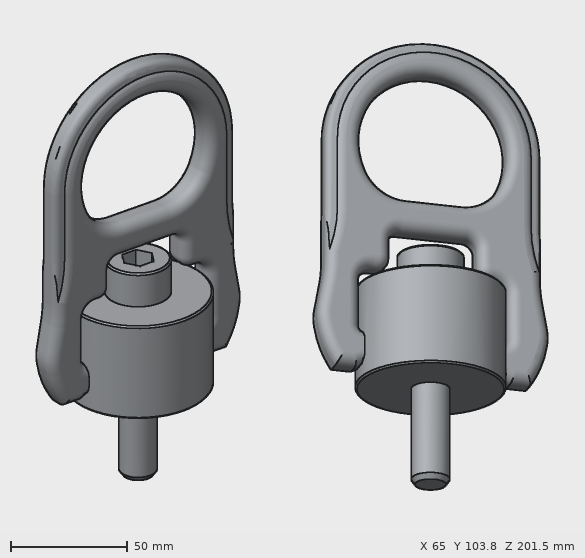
import cadquery as cq
import math


SHANK_RADIUS = 8.37
SHANK_TIP_RADIUS = 6.7
SHANK_TIP_HEIGHT = 2.5
DRUM_RADIUS = 32.5
DRUM_BOTTOM = 44.0
DRUM_TOP = 89.1
DRUM_CHAMFER = 0.8
HEAD_RADIUS = 14.41
HEAD_TOP = 105.2
HEAD_CHAMFER = 0.8
HEX_ACROSS_FLATS = 13.0
HEX_DEPTH = 12.0
HEX_TURN = 30.0

RING_TOP = 201.5
RING_THICKNESS = 14.3
EDGE_FILLET = 5.0
BOW_RADIUS = 48.4
BOW_CENTRE_Z = RING_TOP - BOW_RADIUS
FLARE_TOP = 98.4
FLARE_END = (49.09, 89.1)
FLARE_BULGE = (48.57, 93.7)
CHEEK_HALF_WIDTH = 51.91
CHEEK_TOP = (51.5, 75.8)
CHEEK_BOTTOM = (51.5, 68.0)
CHEEK_MID_Z = (CHEEK_TOP[1] + CHEEK_BOTTOM[1]) / 2
TOE_BULGE = (49.4, 59.7)
TOE_OUTER = 43.7
TOE_INNER = 34.9
TOE_BOTTOM = 49.0

PIN_TOP = 65.5
PIN_BOTTOM = 50.6
PIN_SHOULDER = 31.9
PIN_INNER_END = 22.2

EYE_RADIUS = 33.3
EYE_BOTTOM = 128.0
EYE_FLAT_HALF = 12.5

WINDOW_TOP = 113.3
WINDOW_UPPER_HALF = 19.8
WINDOW_TOP_RADIUS = 4.8
WINDOW_STEP_Z = 95.2
WINDOW_STEP_RADIUS = 5.2
WINDOW_LOWER_HALF = 33.5
WINDOW_SHOULDER_RADIUS = 6.2
WINDOW_FOOT_RADIUS = 2.5

RIM_CREST = (0.0, 1.8)
RIM_ROUND_MID = (0.95, 4.2)
RIM_ROUND_END = (3.2, 5.2)
RIM_STEP_FOOT = (4.8, 5.55)
RIM_STEP_MID = (6.5, 6.7)
RIM_STEP_TOP = (8.5, RING_THICKNESS / 2)
RIM_CLEARANCE = 2.0
RIM_STRAIGHT_END = 121.4
RIM_RUNOUT_RADIUS = 54.5
RIM_RUNOUT_ANGLE = 35.0


def circle_point(centre, radius, degrees):
    """Point on a circle in the YZ plane at an angle measured from +Y toward +Z."""
    angle = math.radians(degrees)
    return (centre[0] + radius * math.cos(angle), centre[1] + radius * math.sin(angle))


def half_plate():
    """The +Y half of the plate, from the bow down to the pin, without the eye."""
    step_centre = (WINDOW_UPPER_HALF + WINDOW_STEP_RADIUS, WINDOW_STEP_Z + WINDOW_STEP_RADIUS)
    shoulder_centre = (WINDOW_LOWER_HALF - WINDOW_SHOULDER_RADIUS, WINDOW_STEP_Z - WINDOW_SHOULDER_RADIUS)
    foot_centre = (WINDOW_LOWER_HALF - WINDOW_FOOT_RADIUS, PIN_TOP + WINDOW_FOOT_RADIUS)
    top_centre = (WINDOW_UPPER_HALF - WINDOW_TOP_RADIUS, WINDOW_TOP - WINDOW_TOP_RADIUS)
    outline = (
        cq.Workplane("YZ", origin=(-RING_THICKNESS / 2, 0, 0))
        .moveTo(0, RING_TOP)
        .threePointArc(circle_point((0, BOW_CENTRE_Z), BOW_RADIUS, 45), (BOW_RADIUS, BOW_CENTRE_Z))
        .lineTo(BOW_RADIUS, FLARE_TOP)
        .threePointArc(FLARE_BULGE, FLARE_END)
        .lineTo(*CHEEK_TOP)
        .threePointArc((CHEEK_HALF_WIDTH, CHEEK_MID_Z), CHEEK_BOTTOM)
        .threePointArc(TOE_BULGE, (TOE_OUTER, TOE_BOTTOM))
        .lineTo(TOE_INNER, TOE_BOTTOM)
        .lineTo(PIN_SHOULDER, PIN_BOTTOM)
        .lineTo(PIN_INNER_END, PIN_BOTTOM)
        .lineTo(PIN_INNER_END, PIN_TOP)
        .lineTo(foot_centre[0], PIN_TOP)
        .threePointArc(
            circle_point(foot_centre, WINDOW_FOOT_RADIUS, -45), (WINDOW_LOWER_HALF, foot_centre[1])
        )
        .lineTo(WINDOW_LOWER_HALF, shoulder_centre[1])
        .threePointArc(
            circle_point(shoulder_centre, WINDOW_SHOULDER_RADIUS, 45), (shoulder_centre[0], WINDOW_STEP_Z)
        )
        .lineTo(step_centre[0], WINDOW_STEP_Z)
        .threePointArc(
            circle_point(step_centre, WINDOW_STEP_RADIUS, 225), (WINDOW_UPPER_HALF, step_centre[1])
        )
        .lineTo(WINDOW_UPPER_HALF, top_centre[1])
        .threePointArc(circle_point(top_centre, WINDOW_TOP_RADIUS, 45), (top_centre[0], WINDOW_TOP))
        .lineTo(0, WINDOW_TOP)
        .close()
    )
    return outline.extrude(RING_THICKNESS)


def eye_opening():
    """Round eye with a flat bottom; the corner arcs run tangent into the bow arc and the flat."""
    drop = BOW_CENTRE_Z - EYE_BOTTOM
    corner_radius = (EYE_RADIUS**2 - EYE_FLAT_HALF**2 - drop**2) / (2 * (EYE_RADIUS - drop))
    centre = (EYE_FLAT_HALF, EYE_BOTTOM + corner_radius)
    join_angle = math.degrees(math.atan2(centre[1] - BOW_CENTRE_Z, centre[0]))
    join = circle_point((0, BOW_CENTRE_Z), EYE_RADIUS, join_angle)
    corner_mid = circle_point(centre, corner_radius, (join_angle - 90) / 2)
    return (
        cq.Workplane("YZ", origin=(-RING_THICKNESS, 0, 0))
        .moveTo(-EYE_FLAT_HALF, EYE_BOTTOM)
        .lineTo(EYE_FLAT_HALF, EYE_BOTTOM)
        .threePointArc(corner_mid, join)
        .threePointArc((0, BOW_CENTRE_Z + EYE_RADIUS), (-join[0], join[1]))
        .threePointArc((-corner_mid[0], corner_mid[1]), (-EYE_FLAT_HALF, EYE_BOTTOM))
        .close()
        .extrude(2 * RING_THICKNESS)
    )


def rim_section(height):
    """Section of the material taken off the +X, +Y rim, drawn in the horizontal plane at a height."""

    def point(rim_point):
        return (rim_point[1], BOW_RADIUS - rim_point[0])

    outside = BOW_RADIUS + RIM_CLEARANCE
    beyond_face = RING_THICKNESS / 2 + RIM_CLEARANCE
    return (
        cq.Workplane("XY", origin=(0, 0, height))
        .moveTo(*point(RIM_CREST))
        .threePointArc(point(RIM_ROUND_MID), point(RIM_ROUND_END))
        .lineTo(*point(RIM_STEP_FOOT))
        .threePointArc(point(RIM_STEP_MID), point(RIM_STEP_TOP))
        .lineTo(beyond_face, BOW_RADIUS - RIM_STEP_TOP[0])
        .lineTo(beyond_face, outside)
        .lineTo(RIM_CREST[1], outside)
        .close()
    )


def rim_cutters():
    """Cutters for one quarter of the rim: round the bow, down the side, then curving out of the plate."""
    bow = rim_section(BOW_CENTRE_Z).revolve(90, (0, 0, 0), (1, 0, 0))
    side = rim_section(RIM_STRAIGHT_END).extrude(BOW_CENTRE_Z - RIM_STRAIGHT_END)
    runout_y = BOW_RADIUS + RIM_RUNOUT_RADIUS
    runout = rim_section(RIM_STRAIGHT_END).revolve(RIM_RUNOUT_ANGLE, (0, runout_y, 0), (1, runout_y, 0))
    return [bow, side, runout]


def make_ring():
    half = half_plate()
    plate = half.union(half.mirror("XZ")).clean().cut(eye_opening())
    ring = plate.faces("<X or >X").edges().fillet(EDGE_FILLET)
    for cutter in rim_cutters():
        for quarter in (cutter, cutter.mirror("XZ")):
            ring = ring.cut(quarter).cut(quarter.mirror("YZ"))
    return ring


def make_hub(ring):
    """Turned hub with a hexagon socket in its head and two recesses that match the ring's pins."""
    profile = [
        (0, 0),
        (SHANK_TIP_RADIUS, 0),
        (SHANK_RADIUS, SHANK_TIP_HEIGHT),
        (SHANK_RADIUS, DRUM_BOTTOM),
        (DRUM_RADIUS - DRUM_CHAMFER, DRUM_BOTTOM),
        (DRUM_RADIUS, DRUM_BOTTOM + DRUM_CHAMFER),
        (DRUM_RADIUS, DRUM_TOP - DRUM_CHAMFER),
        (DRUM_RADIUS - DRUM_CHAMFER, DRUM_TOP),
        (HEAD_RADIUS, DRUM_TOP),
        (HEAD_RADIUS, HEAD_TOP - HEAD_CHAMFER),
        (HEAD_RADIUS - HEAD_CHAMFER, HEAD_TOP),
        (0, HEAD_TOP),
    ]
    turned = cq.Workplane("XZ").polyline(profile).close().revolve(360, (0, 0, 0), (0, 1, 0))
    hex_socket = (
        cq.Workplane("XY", origin=(0, 0, HEAD_TOP - HEX_DEPTH))
        .polygon(6, HEX_ACROSS_FLATS / math.cos(math.pi / 6))
        .extrude(HEX_DEPTH)
        .rotate((0, 0, 0), (0, 0, 1), HEX_TURN)
    )
    return turned.cut(hex_socket).cut(ring)


ring = make_ring()
hub = make_hub(ring)
result = cq.Compound.makeCompound([ring.val(), hub.val()])